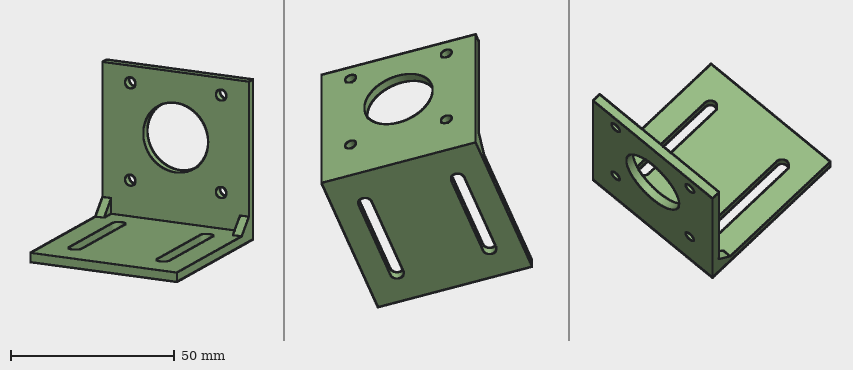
import cadquery as cq

width = 50.0
depth = 53.0
height = 51.0
thickness = 3.0

gusset_leg = 5.0
gusset_width = thickness

bore_diameter = 22.1
bore_height = 30.0
screw_diameter = 3.5
screw_spacing = 31.0

slot_width = 4.2
slot_length = 34.0
slot_spacing = 30.0
slot_back_gap = 10.0

inner_face_y = -thickness


def make_plates():
    base = cq.Workplane("XY").box(width, depth, thickness, centered=(True, False, False))
    upright = cq.Workplane("XY").box(width, thickness, height, centered=(True, False, False))
    return base.translate((0, -depth, 0)).union(upright.translate((0, inner_face_y, 0)))


def make_gusset(start_x):
    """Triangular rib in the inside corner, extending toward +X from start_x."""
    return (
        cq.Workplane("YZ", origin=(start_x, inner_face_y, thickness))
        .polyline([(0, 0), (-gusset_leg, 0), (0, gusset_leg)])
        .close()
        .extrude(gusset_width)
    )


def make_motor_holes():
    """Cutters for the central bore and four screw holes, through the upright plate."""
    face = cq.Workplane("XZ", origin=(0, 0, bore_height))
    bore = face.circle(bore_diameter / 2).extrude(thickness)
    screws = (
        face.rect(screw_spacing, screw_spacing, forConstruction=True)
        .vertices()
        .circle(screw_diameter / 2)
        .extrude(thickness)
    )
    return bore.union(screws)


def make_slots():
    """Cutters for the two slots running front to back through the base plate."""
    slot_center_y = -slot_back_gap - slot_length / 2
    return (
        cq.Workplane("XY", origin=(0, slot_center_y, 0))
        .pushPoints([(-slot_spacing / 2, 0), (slot_spacing / 2, 0)])
        .slot2D(slot_length, slot_width, 90)
        .extrude(thickness)
    )


bracket = make_plates()
for gusset_start in (-width / 2, width / 2 - gusset_width):
    bracket = bracket.union(make_gusset(gusset_start))

result = bracket.cut(make_motor_holes()).cut(make_slots())